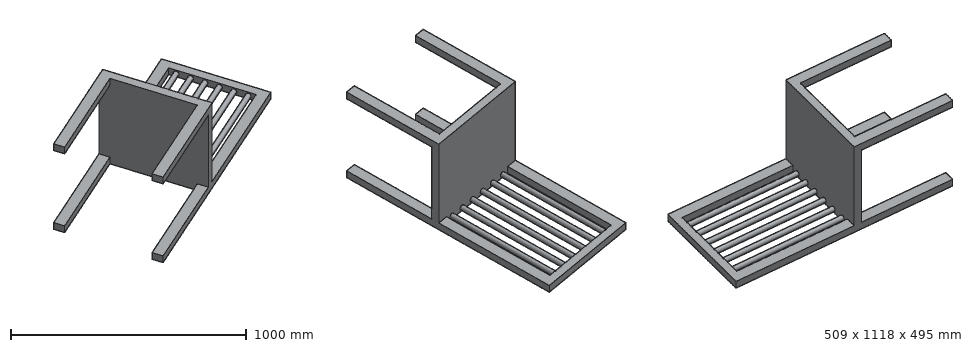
import cadquery as cq

width = 509.0
height = 1118.0
depth = 495.0
seat_top_height = 509.0
post_width = 51.0
thickness = 39.0

rod_count = 6
rod_diameter = 26.0
rod_spacing = 67.0

foot_y = -height / 2
head_y = height / 2
seat_top_y = foot_y + seat_top_height
rail_bottom_y = head_y - thickness
back_z = -depth / 2
front_leg_z = depth / 2 - thickness
post_x = (width - post_width) / 2
rod_z = back_z + thickness / 2


def block(x_size, y_start, y_end, z_start, z_size, x_center=0):
    """Box centred on x_center that starts at y_start and z_start."""
    return cq.Workplane("XY").box(
        x_size, y_end - y_start, z_size, centered=(True, False, False)
    ).translate((x_center, y_start, z_start))


def back_rod(x):
    """Round rod from the seat to the underside of the top rail."""
    length = rail_bottom_y - seat_top_y
    return cq.Workplane("XZ", origin=(x, seat_top_y, rod_z)).circle(rod_diameter / 2).extrude(-length)


seat = block(width, seat_top_y - thickness, seat_top_y, back_z, depth)
top_rail = block(width, rail_bottom_y, head_y, back_z, thickness)
result = seat.union(top_rail)

for x in (-post_x, post_x):
    result = result.union(block(post_width, foot_y, head_y, back_z, thickness, x))
    result = result.union(block(post_width, foot_y, seat_top_y, front_leg_z, thickness, x))

for index in range(rod_count):
    result = result.union(back_rod((index - (rod_count - 1) / 2) * rod_spacing))